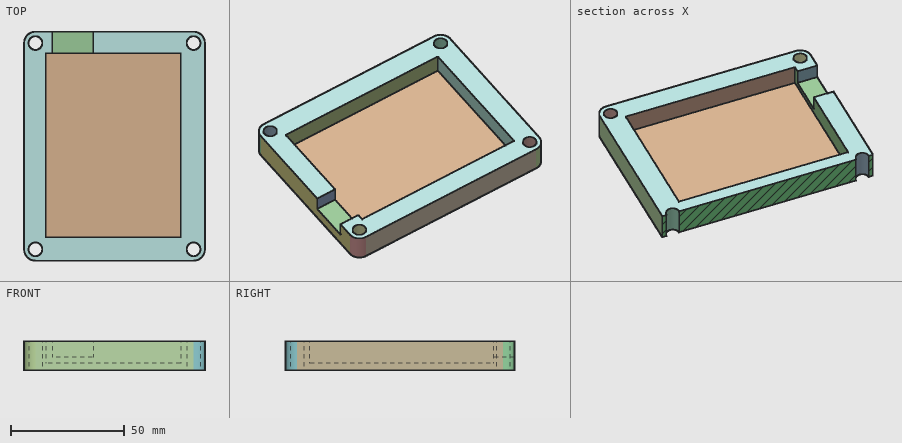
import cadquery as cq

width = 80.0
length = 101.3
height = 13.0
corner_radius = 5.1

hole_diameter = 6.0

pocket_width = 59.8
pocket_length = 81.4
pocket_depth = 9.5
pocket_left_wall = 9.5
pocket_back_wall = 9.5

notch_width = 18.2
notch_depth = 7.0
notch_from_left = 12.5


def cut_box(left, back, size_x, size_y, depth):
    """Box sunk from the top face, placed by its distances from the left and back sides."""
    return (
        cq.Workplane("XY")
        .box(size_x, size_y, depth, centered=False)
        .translate((left - width / 2, length / 2 - back - size_y, height - depth))
    )


body = cq.Workplane("XY").box(width, length, height, centered=(True, True, False))
body = body.edges("|Z").fillet(corner_radius)

holes = (
    cq.Workplane("XY")
    .rect(width - 2 * corner_radius, length - 2 * corner_radius, forConstruction=True)
    .vertices()
    .circle(hole_diameter / 2)
    .extrude(height)
)

pocket = cut_box(pocket_left_wall, pocket_back_wall, pocket_width, pocket_length, pocket_depth)
notch = cut_box(notch_from_left, 0, notch_width, pocket_back_wall, notch_depth)

result = body.cut(holes).cut(pocket).cut(notch)